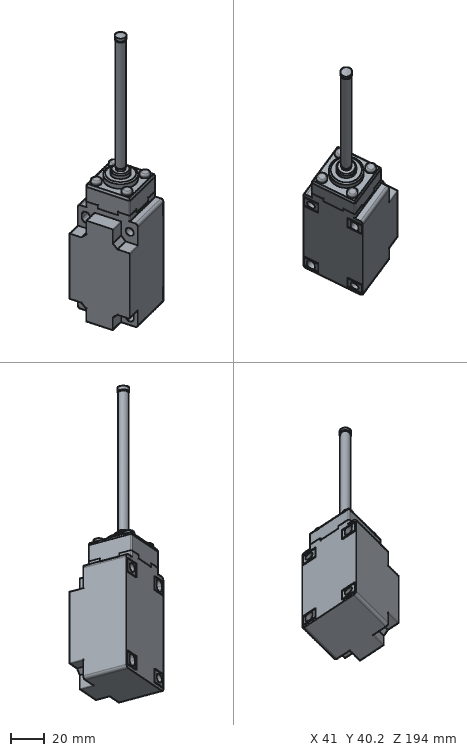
import cadquery as cq
import math


total_height = 194
housing_width = 41.0
total_depth = 40.2
housing_height = 74.1

neck_width = 30.0
neck_edge_radius = 0.8
neck_top = 78.2
key_width = 13.5
key_depth = 2.3

back_y = neck_width / 2
shell_front_y = -neck_width / 2
corner_radius = 2.0
pad_thickness = 0.48
pad_width = 9.7
pad_height = 8.7
cover_front_y = back_y + pad_thickness - total_depth
cover_top = 72.2
column_width = 18.2
notch_chamfer = 3.1
cover_corner_radius = 0.4
cover_shoulder_top = 59.0
cover_shoulder_bottom = 12.2

hole_diameter = 5.5
slot_height = 7.8
hole_offset_x = 15.0
lower_hole_z = 6.5
upper_hole_z = 66.7

head_top = 90.5
bevel_height = 1.7
bevel_inset = 0.8

screw_offset = 10.5
screw_radius = 3.3
screw_flat_radius = 2.1
screw_rim_height = 1.2
screw_height = 2.7

boss_radius = 10.3
boss_bevel_width = 1.2
boss_bevel_height = 0.8
boss_top = 94.5
collar_radius = 6.0
collar_bevel_width = 0.8
collar_bevel_height = 1.0
collar_top = 97.8

rod_radius = 3.3
rod_start = 99.5
rod_neck_radius = 2.5
rod_neck_end_radius = 3.0
groove_bottom = 190.1
groove_width = 0.5
groove_depth = 0.2
tip_radius = 3.5
tip_cone_height = 0.8


def neck_prism(bottom, top):
    """Square column with slightly rounded upright edges."""
    return (
        cq.Workplane("XY", origin=(0, 0, bottom))
        .rect(neck_width, neck_width)
        .extrude(top - bottom)
        .edges("|Z")
        .fillet(neck_edge_radius)
    )


def key_cross():
    """Crossed bars whose ends show as a tab in the middle of each neck side."""
    bar_length = 2 * neck_width
    base = cq.Workplane("XY", origin=(0, 0, neck_top - key_depth))
    along_x = base.rect(bar_length, key_width).extrude(key_depth)
    along_y = base.rect(key_width, bar_length).extrude(key_depth)
    return along_x.union(along_y)


def revolve_about_z(profile):
    """Turn a closed (radius, z) profile drawn on XZ about the Z axis."""
    return profile.close().revolve(360, (0, 0, 0), (0, 1, 0))


def make_shell():
    shell = (
        cq.Workplane("XZ", origin=(0, back_y, 0))
        .center(0, housing_height / 2)
        .rect(housing_width, housing_height)
        .extrude(neck_width)
        .edges("|Y")
        .fillet(corner_radius)
    )
    neck = neck_prism(housing_height - corner_radius, neck_top)
    return shell.union(neck).cut(key_cross())


def make_cover():
    """Raised front: full width in the middle, a narrow column above and below."""
    half_width = housing_width / 2
    half_column = column_width / 2
    right_side = [
        (half_column, 0),
        (half_column, cover_shoulder_bottom - notch_chamfer),
        (half_column + notch_chamfer, cover_shoulder_bottom),
        (half_width, cover_shoulder_bottom),
        (half_width, cover_shoulder_top),
        (half_column + notch_chamfer, cover_shoulder_top),
        (half_column, cover_shoulder_top + notch_chamfer),
        (half_column, cover_top),
    ]
    left_side = [(-x, z) for x, z in reversed(right_side)]
    cover = (
        cq.Workplane("XZ", origin=(0, shell_front_y, 0))
        .polyline(right_side + left_side)
        .close()
        .extrude(shell_front_y - cover_front_y)
    )
    for side in ("<X", ">X", "<Z", ">Z"):
        cover = cover.faces(side).edges("|Y").fillet(cover_corner_radius)
    return cover


def make_housing():
    round_holes = [(-hole_offset_x, lower_hole_z), (hole_offset_x, upper_hole_z)]
    slots = [(-hole_offset_x, upper_hole_z), (hole_offset_x, lower_hole_z)]
    pad_back_y = back_y + pad_thickness
    through_depth = neck_width + pad_thickness
    back_plane = cq.Workplane("XZ", origin=(0, pad_back_y, 0))

    pads = back_plane.pushPoints(round_holes + slots).rect(pad_width, pad_height).extrude(pad_thickness)
    hole_cuts = back_plane.pushPoints(round_holes).circle(hole_diameter / 2).extrude(through_depth)
    slot_cuts = back_plane.pushPoints(slots).slot2D(slot_height, hole_diameter, 90).extrude(through_depth)
    return make_shell().union(make_cover()).union(pads).cut(hole_cuts).cut(slot_cuts)


def make_bevelled_block():
    bevel_bottom = head_top - bevel_height
    block = neck_prism(neck_top, head_top)
    tabs = neck_prism(neck_top - key_depth, neck_top).intersect(key_cross())
    top_width = neck_width - 2 * bevel_inset
    bevel = (
        cq.Workplane("XY", origin=(0, 0, bevel_bottom))
        .rect(neck_width, neck_width)
        .workplane(offset=bevel_height)
        .rect(top_width, top_width)
        .loft(ruled=True)
    )
    below_bevel = neck_prism(neck_top, bevel_bottom)
    return block.intersect(bevel.union(below_bevel)).union(tabs)


def make_screw_head():
    """Low cylinder with a rounded shoulder up to a flat top."""
    shoulder_width = screw_radius - screw_flat_radius
    shoulder_height = screw_height - screw_rim_height
    arc_mid = (
        screw_flat_radius + shoulder_width * math.cos(math.pi / 4),
        screw_rim_height + shoulder_height * math.sin(math.pi / 4),
    )
    profile = (
        cq.Workplane("XZ")
        .lineTo(screw_radius, 0)
        .lineTo(screw_radius, screw_rim_height)
        .threePointArc(arc_mid, (screw_flat_radius, screw_height))
        .lineTo(0, screw_height)
    )
    return revolve_about_z(profile)


def make_boss():
    profile = (
        cq.Workplane("XZ")
        .moveTo(0, head_top)
        .lineTo(boss_radius, head_top)
        .lineTo(boss_radius, boss_top - boss_bevel_height)
        .lineTo(boss_radius - boss_bevel_width, boss_top)
        .lineTo(collar_radius, boss_top)
        .lineTo(collar_radius, collar_top - collar_bevel_height)
        .lineTo(collar_radius - collar_bevel_width, collar_top)
        .lineTo(0, collar_top)
    )
    return revolve_about_z(profile)


def make_head():
    head = make_bevelled_block().union(make_boss())
    screw_head = make_screw_head()
    for x in (-screw_offset, screw_offset):
        for y in (-screw_offset, screw_offset):
            head = head.union(screw_head.translate((x, y, head_top)))
    return head


def make_rod():
    groove_radius = rod_radius - groove_depth
    groove_top = groove_bottom + groove_width
    neck_middle = (rod_neck_radius, (collar_top + rod_start) / 2)
    profile = (
        cq.Workplane("XZ")
        .moveTo(0, collar_top)
        .lineTo(rod_neck_end_radius, collar_top)
        .threePointArc(neck_middle, (rod_neck_end_radius, rod_start))
        .lineTo(rod_radius, rod_start)
        .lineTo(rod_radius, groove_bottom)
        .lineTo(groove_radius, groove_bottom)
        .lineTo(groove_radius, groove_top)
        .lineTo(tip_radius, groove_top)
        .lineTo(tip_radius, total_height - tip_cone_height)
        .lineTo(0, total_height)
    )
    return revolve_about_z(profile)


housing = make_housing()
head = make_head()
rod = make_rod()

result = cq.Compound.makeCompound([
    housing.solids().val(),
    head.solids().val(),
    rod.solids().val(),
])